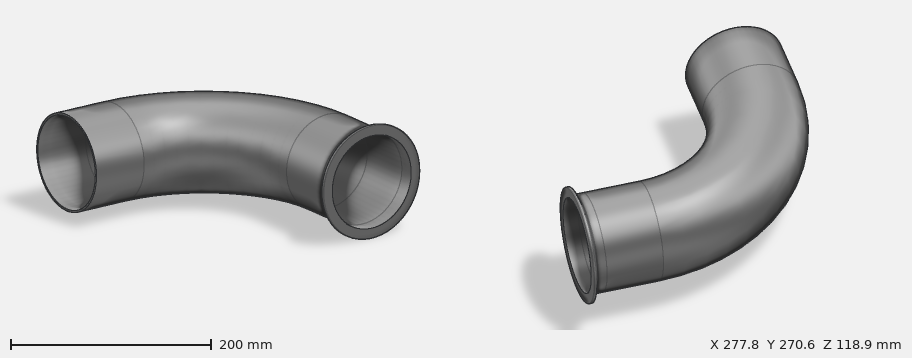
import cadquery as cq
import math


tube_od = 101.6
tube_id = 97.38
bend_radius = 1.5 * tube_od
tangent_length = 58.75

ferrule_length = 15.875
flange_od = 118.92
rim_width = 2.85
flange_angle = 20.0
neck_fillet = 1.2
rim_fillet = 0.4

match_tolerance = 0.01

tube_radius = tube_od / 2
bore_radius = tube_id / 2
flange_radius = flange_od / 2
cone_length = (flange_radius - tube_radius) * math.tan(math.radians(flange_angle))

plain_end_y = -bend_radius - tangent_length
ferrule_start_x = bend_radius + tangent_length
ferrule_end_x = ferrule_start_x + ferrule_length
rim_start_x = ferrule_end_x - rim_width
neck_end_x = rim_start_x - cone_length


def ring_section(workplane):
    """Tube wall cross-section on the given plane."""
    return workplane.circle(tube_radius).circle(bore_radius)


def plain_tangent():
    """Straight tube from the open -Y end up to the bend."""
    plane = cq.Plane(origin=(0, plain_end_y, 0), xDir=(1, 0, 0), normal=(0, 1, 0))
    return ring_section(cq.Workplane(plane)).extrude(tangent_length)


def bend():
    """Quarter torus turning from +Y to +X about the point (bend_radius, -bend_radius) in XY."""
    plane = cq.Plane(origin=(0, -bend_radius, 0), xDir=(1, 0, 0), normal=(0, 1, 0))
    return ring_section(cq.Workplane(plane)).revolve(90, (bend_radius, 0), (bend_radius, 1))


def ferrule_tangent():
    """Straight tube from the bend to the ferrule."""
    plane = cq.Plane(origin=(bend_radius, 0, 0), xDir=(0, 1, 0), normal=(1, 0, 0))
    return ring_section(cq.Workplane(plane)).extrude(tangent_length)


def corner_edge(body, x, radius):
    """Circular edge of a body turned about the X axis, found by its position and radius."""
    circles = body.edges("%CIRCLE")
    return circles.filter(
        lambda edge: abs(edge.arcCenter().x - x) < match_tolerance
        and abs(edge.radius() - radius) < match_tolerance
    )


def ferrule():
    """Turned ferrule about the X axis: short neck, conical clamp face and flat-faced rim."""
    body = (
        cq.Workplane("XY")
        .moveTo(ferrule_start_x, bore_radius)
        .lineTo(ferrule_start_x, tube_radius)
        .lineTo(neck_end_x, tube_radius)
        .lineTo(rim_start_x, flange_radius)
        .lineTo(ferrule_end_x, flange_radius)
        .lineTo(ferrule_end_x, bore_radius)
        .close()
        .revolve(360, (0, 0), (1, 0))
    )
    body = corner_edge(body, neck_end_x, tube_radius).fillet(neck_fillet)
    for rim_x in (rim_start_x, ferrule_end_x):
        body = corner_edge(body, rim_x, flange_radius).fillet(rim_fillet)
    return body


result = plain_tangent()
for piece in (bend(), ferrule_tangent(), ferrule()):
    result = result.union(piece, clean=False)